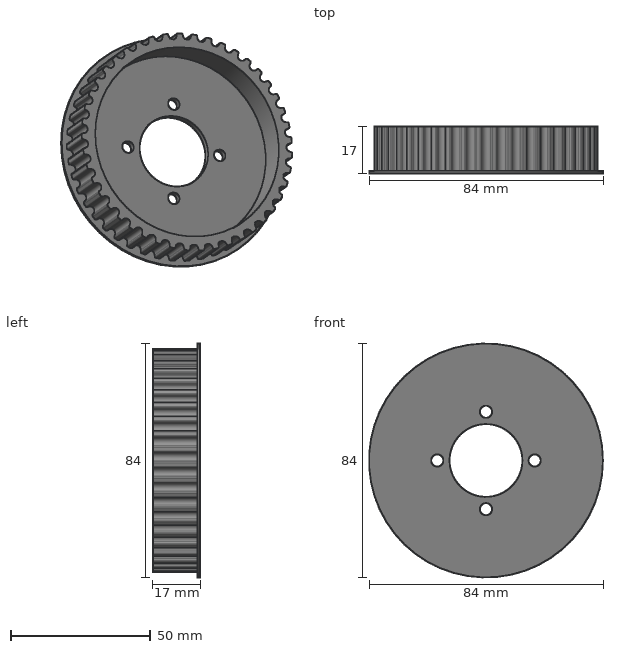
import cadquery as cq
import math

flange_diameter = 84.0
flange_thickness = 1.0
total_width = 17.0
tooth_tip_diameter = 80.2
tooth_count = 45

groove_depth = 2.2
groove_bottom_radius = 1.5
flank_angle = math.radians(17)
tip_rounding = 0.5
cutter_overshoot = 0.8

web_thickness = 3.0
hollow_diameter = 70.0
bore_diameter = 26.0
bolt_hole_diameter = 4.3
bolt_circle_radius = 17.5
bolt_count = 4

tip_radius = tooth_tip_diameter / 2
pitch_angle = 360 / tooth_count
tooth_width = total_width - flange_thickness
length_tolerance = 0.01


def xz_plane(y):
    """Workplane at position y with local axes X and Z; extrusions run towards -Y."""
    return cq.Workplane("XZ", origin=(0, y, 0))


def disc(diameter, y_start, y_end):
    """Cylinder on the pulley axis between two positions along Y."""
    return xz_plane(y_end).circle(diameter / 2).extrude(y_end - y_start)


def groove_cutter():
    """Bar that cuts the groove centred on +Z, along the full tooth width."""
    arc_center_z = tip_radius - groove_depth + groove_bottom_radius
    tangent_x = groove_bottom_radius * math.cos(flank_angle)
    tangent_z = arc_center_z - groove_bottom_radius * math.sin(flank_angle)
    mouth_z = tip_radius + cutter_overshoot
    mouth_x = tangent_x + (mouth_z - tangent_z) * math.tan(flank_angle)
    bottom = (0, tip_radius - groove_depth)
    return (
        xz_plane(total_width)
        .moveTo(-mouth_x, mouth_z)
        .lineTo(-tangent_x, tangent_z)
        .threePointArc(bottom, (tangent_x, tangent_z))
        .lineTo(mouth_x, mouth_z)
        .close()
        .extrude(tooth_width)
    )


def is_tip_edge(edge):
    """True for edges lying on the tip cylinder."""
    center = edge.Center()
    return math.hypot(center.x, center.z) > tip_radius - length_tolerance


def toothed_rim():
    """Solid gear blank with all grooves cut and the tooth tips rounded."""
    blank = disc(tooth_tip_diameter, flange_thickness, total_width)
    cutter = groove_cutter().val()
    axis_start = cq.Vector(0, 0, 0)
    axis_end = cq.Vector(0, 1, 0)
    grooves = [
        cutter.rotate(axis_start, axis_end, index * pitch_angle)
        for index in range(tooth_count)
    ]
    rim = cq.Workplane(blank.val().cut(*grooves))
    return rim.edges("|Y").filter(is_tip_edge).fillet(tip_rounding)


def bolt_holes():
    """Pins for the bolt holes, evenly spaced and starting on +X."""
    return (
        xz_plane(web_thickness)
        .polarArray(bolt_circle_radius, 0, 360, bolt_count)
        .circle(bolt_hole_diameter / 2)
        .extrude(web_thickness)
    )


flange = disc(flange_diameter, 0, flange_thickness)
hollow = disc(hollow_diameter, web_thickness, total_width)
bore = disc(bore_diameter, 0, web_thickness)

result = toothed_rim().union(flange).cut(hollow).cut(bore).cut(bolt_holes())